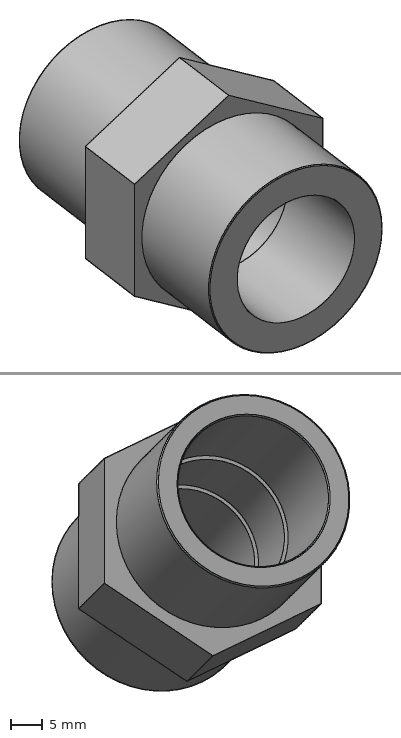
import cadquery as cq
import math

total_length = 55.0
inlet_length = 21.95
hex_length = 13.95
hex_end = inlet_length + hex_length
outlet_length = total_length - hex_end

hex_across_flats = 36.1
hex_across_corners = hex_across_flats / math.cos(math.radians(30))
inlet_diameter = 32.1
outlet_diameter = 33.3

inlet_bore = 25.0
middle_bore = 23.75
outlet_bore = 22.5

inlet_rim_chamfer = 0.2
outlet_rim_chamfer = 0.15


def cylinder(start, length, diameter):
    """Cylinder on the X axis, growing toward +X."""
    return cq.Workplane("YZ", origin=(start, 0, 0)).circle(diameter / 2).extrude(length)


def hexagon_grip():
    """Hexagon with corners on the Z axis and flats facing Y."""
    return (
        cq.Workplane("YZ", origin=(inlet_length, 0, 0))
        .transformed(rotate=(0, 0, 90))
        .polygon(6, hex_across_corners)
        .extrude(hex_length)
    )


def stepped_bore():
    """Through bore with one step at each face of the hexagon."""
    return (
        cylinder(0, inlet_length, inlet_bore)
        .union(cylinder(inlet_length, hex_length, middle_bore))
        .union(cylinder(hex_end, outlet_length, outlet_bore))
    )


inlet = cylinder(0, inlet_length, inlet_diameter)
outlet = cylinder(hex_end, outlet_length, outlet_diameter).faces(">X").chamfer(outlet_rim_chamfer)
body = inlet.union(hexagon_grip()).union(outlet)

result = body.cut(stepped_bore()).faces("<X").chamfer(inlet_rim_chamfer)